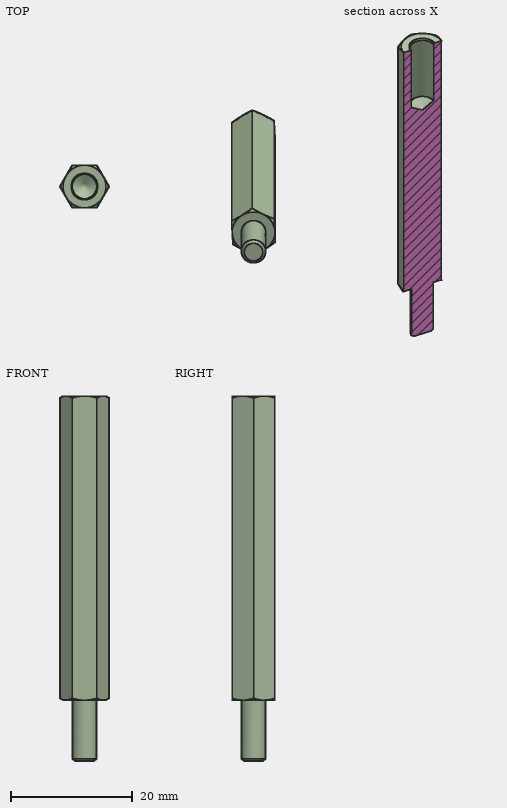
import cadquery as cq
import math

total_length = 60.0
stud_length = total_length / 6
body_length = total_length - stud_length
across_flats = 7.0
across_corners = across_flats / math.cos(math.radians(30))

stud_diameter = 4.0
stud_chamfer_height = 0.35
stud_chamfer_width = 0.5

hole_diameter = 4.0
hole_depth = 12.0
drill_tip_angle = 118.0
countersink_width = 0.2
countersink_depth = 0.3

corner_chamfer_angle = 30.0
chamfer_start_radius = across_flats / 2


def make_body():
    """Hexagonal bar with its corners turned off conically at both ends."""
    hexagon = cq.Workplane("XY").polygon(6, across_corners).extrude(body_length)
    outer_radius = across_corners / 2
    rise = (outer_radius - chamfer_start_radius) * math.tan(math.radians(corner_chamfer_angle))
    envelope = (
        cq.Workplane("XZ")
        .moveTo(0, 0)
        .lineTo(chamfer_start_radius, 0)
        .lineTo(outer_radius, rise)
        .lineTo(outer_radius, body_length - rise)
        .lineTo(chamfer_start_radius, body_length)
        .lineTo(0, body_length)
        .close()
        .revolve(360, (0, 0), (0, 1))
    )
    return hexagon.intersect(envelope)


def make_stud():
    """Round stud below the body with a chamfered tip."""
    radius = stud_diameter / 2
    return (
        cq.Workplane("XZ")
        .lineTo(radius, 0)
        .lineTo(radius, stud_chamfer_height - stud_length)
        .lineTo(radius - stud_chamfer_width, -stud_length)
        .lineTo(0, -stud_length)
        .close()
        .revolve(360, (0, 0), (0, 1))
    )


def make_hole():
    """Blind hole with a countersunk mouth and a conical drill tip."""
    radius = hole_diameter / 2
    floor = body_length - hole_depth
    tip_depth = radius / math.tan(math.radians(drill_tip_angle / 2))
    return (
        cq.Workplane("XZ")
        .moveTo(0, body_length)
        .lineTo(radius + countersink_width, body_length)
        .lineTo(radius, body_length - countersink_depth)
        .lineTo(radius, floor)
        .lineTo(0, floor - tip_depth)
        .close()
        .revolve(360, (0, 0), (0, 1))
    )


result = make_body().union(make_stud()).cut(make_hole())